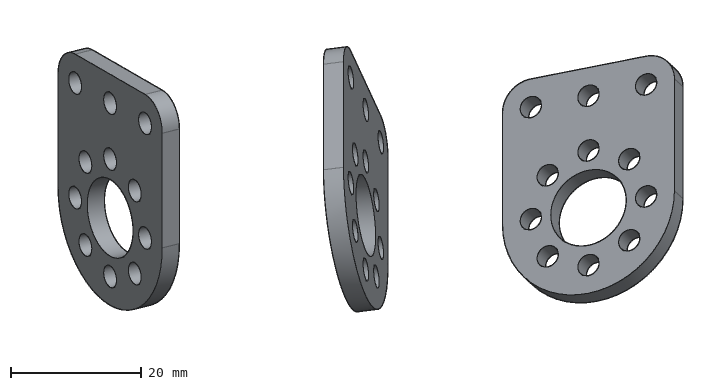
import cadquery as cq

height = 38.35
width = 29.07
thickness = 3.2
corner_radius = 4.8
bore_diameter = 12.75
screw_diameter = 3.55
bolt_count = 8

end_radius = width / 2
top_z = height - end_radius
screw_pitch = end_radius - corner_radius
top_row_z = top_z - corner_radius


def make_plate():
    """Plate with a full round bottom end and rounded top corners."""
    return (
        cq.Workplane("XZ")
        .moveTo(-end_radius, 0)
        .lineTo(-end_radius, top_z)
        .lineTo(end_radius, top_z)
        .lineTo(end_radius, 0)
        .threePointArc((0, -end_radius), (-end_radius, 0))
        .close()
        .extrude(thickness)
        .edges("|Y and >Z")
        .fillet(corner_radius)
    )


def cut_holes(plate):
    """Cut the bore, the bolt circle around it and the row of holes along the top."""
    face = plate.faces("<Y").workplane(origin=(0, -thickness, 0))
    plate = face.circle(bore_diameter / 2).cutThruAll()

    face = plate.faces("<Y").workplane(origin=(0, -thickness, 0))
    plate = face.polarArray(screw_pitch, 0, 360, bolt_count).circle(screw_diameter / 2).cutThruAll()

    face = plate.faces("<Y").workplane(origin=(0, -thickness, 0))
    top_row = [(x, top_row_z) for x in (-screw_pitch, 0, screw_pitch)]
    return face.pushPoints(top_row).circle(screw_diameter / 2).cutThruAll()


result = cut_holes(make_plate())